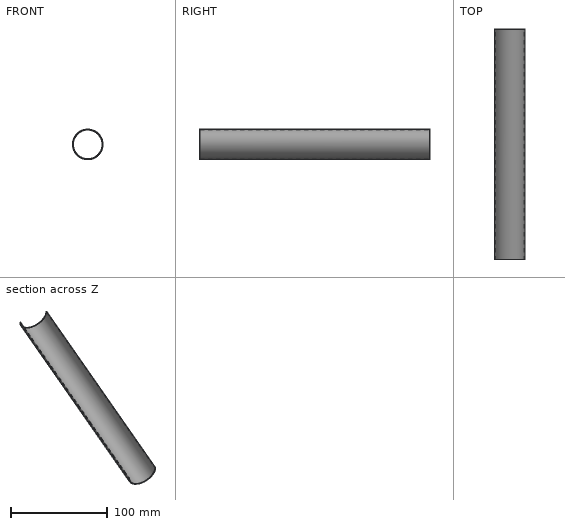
import cadquery as cq

length = 240.0
outer_diameter = 32.0
wall_thickness = 1.0

inner_diameter = outer_diameter - 2 * wall_thickness

result = (
    cq.Workplane("XZ", origin=(0, length / 2, 0))
    .circle(outer_diameter / 2)
    .circle(inner_diameter / 2)
    .extrude(length)
)